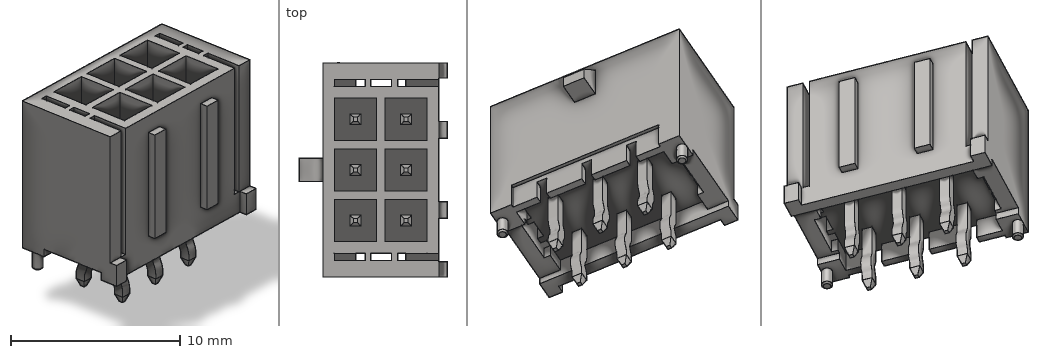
import cadquery as cq
import math


COLUMNS = 3
PITCH = 3.0
FRONT_ROW_X = 1.93
ROW_XS = [FRONT_ROW_X, FRONT_ROW_X + PITCH]
COLUMN_YS = [(i - (COLUMNS - 1) / 2) * PITCH for i in range(COLUMNS)]
GRID_X = FRONT_ROW_X + PITCH / 2

BODY_DEPTH = 6.86
BODY_WIDTH = 12.67
BODY_HEIGHT = 9.88
OVERALL_HEIGHT = 13.1
REAR_REACH = 0.5
REAR_X = BODY_DEPTH + REAR_REACH

CELL_SIZE = 2.49
CELL_FLOOR_Z = 2.49

NOTCH_HEIGHT = 0.5
NOTCH_FRONT_X = 1.7
NOTCH_REAR_X = 6.16
CAVITY_HEIGHT = 1.4
CAVITY_WIDTH = 9.88
SKIRT_RECESS = 0.21
SKIRT_RECESS_HEIGHT = 1.8
SKIRT_THICKNESS = 0.45

END_SLOT_WIDTH = 0.4
END_SLOT_Y = (CAVITY_WIDTH + END_SLOT_WIDTH) / 2
END_SLOT_SPANS = [(0.68, 2.5), (2.84, 4.05), (4.44, BODY_DEPTH)]
WINDOW_LENGTH = 2.93

FOOT_WIDTH = 0.9
FOOT_HEIGHT = 1.4
RIB_WIDTH = 1.0
RIB_Y = 2.37
RIB_BOTTOM_Z = 1.8
RIB_TOP_Z = 8.75

LATCH_REACH = 1.4
LATCH_WIDTH = 1.39
LATCH_BOTTOM_Z = 7.06
LATCH_NOSE_HEIGHT = 0.8

PEG_DIAMETER = 0.65
PEG_LENGTH = 1.17
PEG_CHAMFER = 0.1
PEG_X = 0.93
PEG_SPAN = 12.7
PEG_Y = (PEG_SPAN - PEG_DIAMETER) / 2

PIN_SIZE = 0.64
PIN_TOP_Z = 6.55
PIN_BOTTOM_Z = BODY_HEIGHT - OVERALL_HEIGHT
TIP_LENGTH = 0.51
TIP_SIZE = 0.25
BEND_TOP_Z = -0.6
BEND_HALF_LENGTH = 0.9
BEND_ANGLE = math.radians(25)
BEND_LINK_LENGTH = 0.12


def box(x_range, y_range, z_range):
    """Axis-aligned box from its lower and upper limits."""
    (x0, x1), (y0, y1), (z0, z1) = x_range, y_range, z_range
    return cq.Workplane("XY").box(x1 - x0, y1 - y0, z1 - z0, centered=False).translate((x0, y0, z0))


def centered_span(center, width):
    return (center - width / 2, center + width / 2)


def latch():
    nose_top_z = LATCH_BOTTOM_Z + LATCH_NOSE_HEIGHT
    outline = [
        (0, LATCH_BOTTOM_Z),
        (-LATCH_REACH, LATCH_BOTTOM_Z),
        (-LATCH_REACH, nose_top_z),
        (0, nose_top_z + LATCH_REACH),
    ]
    return cq.Workplane("XZ").polyline(outline).close().extrude(LATCH_WIDTH / 2, both=True)


def peg(y):
    return (
        cq.Workplane("XY")
        .center(PEG_X, y)
        .circle(PEG_DIAMETER / 2)
        .extrude(-PEG_LENGTH)
        .faces("<Z")
        .chamfer(PEG_CHAMFER)
    )


def end_slots(side):
    """Three slots along one end of the top face, with the window below them."""
    y_range = centered_span(side * END_SLOT_Y, END_SLOT_WIDTH)
    slots = box(centered_span(GRID_X, WINDOW_LENGTH), y_range, (0, CAVITY_HEIGHT))
    for x_range in END_SLOT_SPANS:
        slots = slots.union(box(x_range, y_range, (CAVITY_HEIGHT, BODY_HEIGHT)))
    return slots


def make_housing(pins):
    full_width = centered_span(0, BODY_WIDTH)
    cavity_span = centered_span(0, CAVITY_WIDTH)
    skirt_back_x = SKIRT_RECESS + SKIRT_THICKNESS

    housing = box((0, BODY_DEPTH), full_width, (0, BODY_HEIGHT)).union(latch())
    for side in (-1, 1):
        foot_y = side * (BODY_WIDTH - FOOT_WIDTH) / 2
        foot_span = centered_span(foot_y, FOOT_WIDTH)
        rib_span = centered_span(side * RIB_Y, RIB_WIDTH)
        housing = housing.union(box((BODY_DEPTH, REAR_X), foot_span, (0, FOOT_HEIGHT)))
        housing = housing.union(box((BODY_DEPTH, REAR_X), rib_span, (RIB_BOTTOM_Z, RIB_TOP_Z)))
        housing = housing.union(peg(side * PEG_Y))

    housing = housing.cut(box((NOTCH_FRONT_X, NOTCH_REAR_X), full_width, (0, NOTCH_HEIGHT)))
    housing = housing.cut(box((skirt_back_x, NOTCH_REAR_X), cavity_span, (0, CAVITY_HEIGHT)))
    housing = housing.cut(box((0, SKIRT_RECESS), cavity_span, (0, SKIRT_RECESS_HEIGHT)))
    for y in COLUMN_YS:
        slot_span = centered_span(y, PIN_SIZE)
        housing = housing.cut(box((0, skirt_back_x), slot_span, (0, CAVITY_HEIGHT)))

    for side in (-1, 1):
        housing = housing.cut(end_slots(side))
    for x in ROW_XS:
        for y in COLUMN_YS:
            cell_x = centered_span(x, CELL_SIZE)
            cell_y = centered_span(y, CELL_SIZE)
            housing = housing.cut(box(cell_x, cell_y, (CELL_FLOOR_Z, BODY_HEIGHT)))

    for pin in pins:
        housing = housing.cut(pin)
    return housing


def bend_points(edge):
    """Points down one edge of the bend; edge is -1 for the hollow side, 1 for the bulging side.

    The centre line leaves its axis on one arc, runs straight for the link, turns back over the crest
    on an arc of the same radius, and returns the same way. Each edge is half a pin away from it.
    """
    sine = math.sin(BEND_ANGLE)
    cosine = math.cos(BEND_ANGLE)
    radius = (BEND_HALF_LENGTH - BEND_LINK_LENGTH * cosine) / (2 * sine)
    offset = 2 * radius * (1 - cosine) + BEND_LINK_LENGTH * sine
    leaving_radius = radius - edge * PIN_SIZE / 2
    crest_radius = radius + edge * PIN_SIZE / 2
    middle_z = BEND_TOP_Z - BEND_HALF_LENGTH

    def leaving(angle):
        x = radius - leaving_radius * math.cos(angle)
        return (x, BEND_TOP_Z - leaving_radius * math.sin(angle))

    def crest(angle):
        x = offset - radius + crest_radius * math.cos(angle)
        return (x, middle_z + crest_radius * math.sin(angle))

    upper = [leaving(0), leaving(BEND_ANGLE / 2), leaving(BEND_ANGLE), crest(BEND_ANGLE)]
    lower = [(x, 2 * middle_z - z) for x, z in reversed(upper)]
    return [*upper, crest(0), *lower]


def draw_bend(sketch, points):
    """Continue an outline through the arcs and links of one bend edge."""
    return (
        sketch.lineTo(*points[0])
        .threePointArc(points[1], points[2])
        .lineTo(*points[3])
        .threePointArc(points[4], points[5])
        .lineTo(*points[6])
        .threePointArc(points[7], points[8])
    )


def pin_tip(z, direction):
    """Blunt pyramid on a pin end, pointing up (1) or down (-1)."""
    return (
        cq.Workplane("XY", origin=(0, 0, z))
        .rect(PIN_SIZE, PIN_SIZE)
        .workplane(offset=direction * TIP_LENGTH)
        .rect(TIP_SIZE, TIP_SIZE)
        .loft(ruled=True)
    )


def make_pin(x, y, bulge):
    """Square pin whose tail bends towards +X (bulge 1) or -X (bulge -1)."""
    shank_top_z = PIN_TOP_Z - TIP_LENGTH
    shank_bottom_z = PIN_BOTTOM_Z + TIP_LENGTH
    half = PIN_SIZE / 2
    outline = cq.Workplane("XZ").moveTo(half, shank_top_z)
    outline = draw_bend(outline, bend_points(1))
    outline = outline.lineTo(half, shank_bottom_z).lineTo(-half, shank_bottom_z)
    outline = draw_bend(outline, bend_points(-1)[::-1])
    shank = outline.lineTo(-half, shank_top_z).close().extrude(half, both=True)
    pin = shank.union(pin_tip(shank_top_z, 1)).union(pin_tip(shank_bottom_z, -1))
    if bulge < 0:
        pin = pin.mirror("YZ")
    return pin.translate((x, y, 0))


pins = []
for row_x, bulge in zip(ROW_XS, (1, -1)):
    for column_y in COLUMN_YS:
        pins.append(make_pin(row_x, column_y, bulge))

housing = make_housing(pins)

result = cq.Compound.makeCompound([housing.val(), *[pin.val() for pin in pins]])